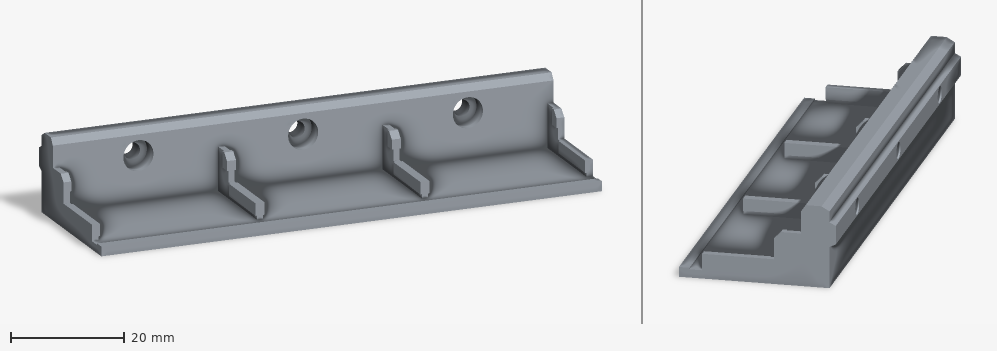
import cadquery as cq

length = 95.85
width = 28.5
height = 15.1

wall_back = 1.15
wall_front = 6.3
back_chamfer_x = 1.4
back_chamfer_z = 0.9
front_chamfer_x = 0.9
front_chamfer_z = 1.2

band_z = 10.0
band_face_half = 1.7
band_root_half = 2.3

floor_z = 1.5
lip_z = 1.8
lip_start = 26.55

bay_count = 3
bay_pitch = 31.5
rib_width = 1.7
rib_end = 24.25
rib_low_z = 4.6
rib_high_z = 9.8
rib_high_end = 11.2
rib_chamfer = 1.2

relief_depth = 0.3
relief_upper_end = wall_front + 2.9
relief_lower_end = wall_front + 5.75
relief_step_z = 6.7
relief_floor_z = 2.3

hole_diameter = 3.1
counterbore_diameter = 5.75
counterbore_depth = 3.0


def prism(points, y_length):
    """Extrude an XZ outline symmetrically about Y = 0."""
    return cq.Workplane("XZ").polyline(points).close().extrude(y_length / 2, both=True)


def make_rail():
    """Solid rail carrying the stepped rib outline over its whole length."""
    return prism(
        [
            (wall_back, 0),
            (width, 0),
            (width, lip_z),
            (lip_start, lip_z),
            (lip_start, floor_z),
            (rib_end, floor_z),
            (rib_end, rib_low_z),
            (rib_high_end, rib_low_z),
            (rib_high_end, rib_high_z - rib_chamfer),
            (rib_high_end - rib_chamfer, rib_high_z),
            (wall_front, rib_high_z),
            (wall_front, height - front_chamfer_z),
            (wall_front - front_chamfer_x, height),
            (wall_back + back_chamfer_x, height),
            (wall_back, height - back_chamfer_z),
            (wall_back, band_z + band_root_half),
            (0, band_z + band_face_half),
            (0, band_z - band_face_half),
            (wall_back, band_z - band_root_half),
        ],
        length,
    )


def make_bay():
    """Pocket between two ribs, widened next to the wall and the floor."""
    bay_width = bay_pitch - rib_width
    pocket = prism(
        [
            (wall_front, floor_z),
            (rib_end, floor_z),
            (rib_end, rib_high_z),
            (wall_front, rib_high_z),
        ],
        bay_width,
    )
    relief = prism(
        [
            (wall_front, floor_z),
            (rib_end, floor_z),
            (rib_end, relief_floor_z),
            (relief_lower_end, relief_floor_z),
            (relief_lower_end, relief_step_z),
            (relief_upper_end, relief_step_z),
            (relief_upper_end, rib_high_z),
            (wall_front, rib_high_z),
        ],
        bay_width + 2 * relief_depth,
    )
    return pocket.union(relief)


def make_screw_hole(y):
    bore = cq.Workplane("YZ").center(y, band_z).circle(hole_diameter / 2).extrude(wall_front)
    counterbore = (
        cq.Workplane("YZ", origin=(wall_front - counterbore_depth, 0, 0))
        .center(y, band_z)
        .circle(counterbore_diameter / 2)
        .extrude(counterbore_depth)
    )
    return bore.union(counterbore)


result = make_rail()
bay = make_bay()
for index in range(bay_count):
    bay_y = (index - (bay_count - 1) / 2) * bay_pitch
    result = result.cut(bay.translate((0, bay_y, 0)))
    result = result.cut(make_screw_hole(bay_y))